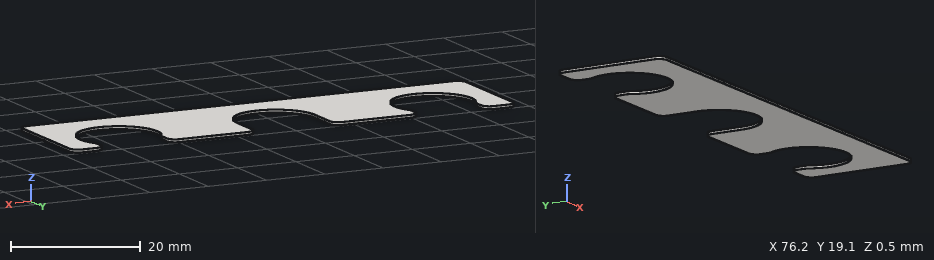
import cadquery as cq

length = 76.2
width = 19.05
thickness = 0.5
edge_radius = 1.524

pocket_diameter = 13.2
pocket_pitch = 26.9875
pocket_inset = 6.67
end_mouth_width = 11.176

back_y = width / 2
pocket_y = back_y - pocket_inset


def make_plate():
    """Flat rectangular plate centred on the origin."""
    return cq.Workplane("XY").box(length, width, thickness)


def make_pocket(center_x, mouth_width):
    """Cutter for a round pocket joined to the back edge by a straight mouth."""
    bottom = cq.Workplane("XY", origin=(center_x, pocket_y, -thickness / 2))
    bore = bottom.circle(pocket_diameter / 2).extrude(thickness)
    mouth = bottom.center(0, pocket_inset / 2).rect(mouth_width, pocket_inset).extrude(thickness)
    return bore.union(mouth)


result = make_plate()
for side in (-1, 1):
    result = result.cut(make_pocket(side * pocket_pitch, end_mouth_width))
result = result.edges("|Z").fillet(edge_radius)

result = result.cut(make_pocket(0, pocket_diameter))
mouth_corners = cq.selectors.BoxSelector(
    (-pocket_diameter, back_y - edge_radius, -thickness),
    (pocket_diameter, back_y + edge_radius, thickness),
)
result = result.edges("|Z").edges(mouth_corners).fillet(edge_radius).solids()